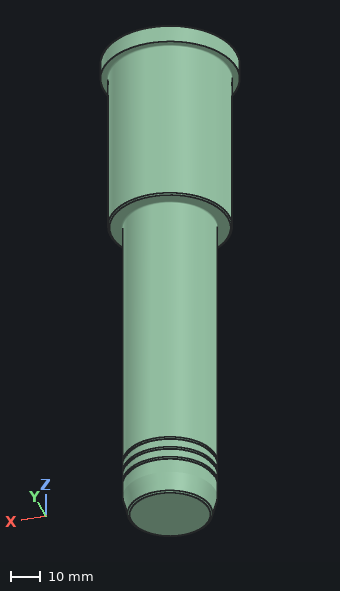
import cadquery as cq
import math

length = 181.0

head_radius = 23.5
head_height = 6.5
head_top_chamfer = 0.4

collar_radius = 21.0
collar_bottom_depth = 66.0
collar_chamfer = 0.5

shaft_diameter = 32.0
shaft_radius = shaft_diameter / 2
nose_height = 6.9
nose_angle = 15.0
tip_chamfer = 0.5

root_fillet = 0.5

groove_count = 3
groove_pitch = 4.0
groove_width = 0.9
groove_depth = 0.5
lowest_groove_height = 12.5

largest_circle = cq.selectors.RadiusNthSelector(-1)

bottom_z = -length / 2
top_z = length / 2
head_bottom_z = top_z - head_height
collar_bottom_z = top_z - collar_bottom_depth
tip_radius = shaft_radius - nose_height * math.tan(math.radians(nose_angle))


def revolve_about_z(half_profile):
    """Turn an outline of (radius, z) points around the Z axis."""
    points = [(-radius, z) for radius, z in half_profile]
    return cq.Workplane("XZ").polyline(points).close().revolve(360, (0, 0), (0, 1))


def circles_within(radius, z):
    """Selector for the circular edges at height z that are no larger than the given radius."""
    margin = 0.02
    return cq.selectors.BoxSelector(
        (-radius - margin, -radius - margin, z - margin),
        (radius + margin, radius + margin, z + margin),
        boundingbox=True,
    )


def make_body():
    return revolve_about_z([
        (0, bottom_z),
        (tip_radius, bottom_z),
        (shaft_radius, bottom_z + nose_height),
        (shaft_radius, collar_bottom_z),
        (collar_radius, collar_bottom_z),
        (collar_radius, head_bottom_z),
        (head_radius, head_bottom_z),
        (head_radius, top_z),
        (0, top_z),
    ])


def make_groove(center_z):
    return revolve_about_z([
        (shaft_radius - groove_depth, center_z),
        (shaft_radius, center_z - groove_width / 2),
        (shaft_radius, center_z + groove_width / 2),
    ])


def soften_edges(body):
    collar_rim = body.edges(circles_within(collar_radius, collar_bottom_z)).edges(largest_circle)
    body = collar_rim.chamfer(collar_chamfer)
    body = body.edges(circles_within(shaft_radius, collar_bottom_z)).fillet(root_fillet)
    body = body.edges(circles_within(collar_radius, head_bottom_z)).fillet(root_fillet)
    body = body.faces(">Z").edges().chamfer(head_top_chamfer)
    return body.faces("<Z").edges().chamfer(tip_chamfer)


result = soften_edges(make_body())
for index in range(groove_count):
    result = result.cut(make_groove(bottom_z + lowest_groove_height + index * groove_pitch))